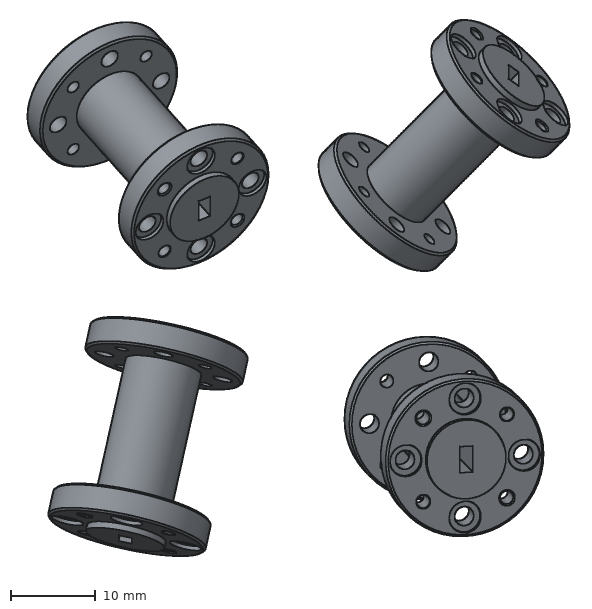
import cadquery as cq
import math

length = 25.4
flange_diameter = 19.05
flange_thickness = 3.33
flange_chamfer = 0.25
boss_diameter = flange_diameter / 2
boss_height = 0.75
tube_diameter = 9.15

channel_width = 1.57
channel_height = 2 * channel_width

bolt_circle_radius = 7.15
screw_diameter = 2.29
recess_diameter = 3.8
recess_depth = 0.5
pin_hole_diameter = 1.57
pin_hole_chamfer = 0.08
clearance_hole_diameter = 1.57
clearance_hole_chamfer = 0.18

screw_angles = (0, 90, 180, 270)
pin_angles = (45, 225)
clearance_angles = (135, 315)

flange_outer = length / 2 - boss_height
flange_inner = flange_outer - flange_thickness


def cylinder(diameter, start, end, y=0, z=0):
    """Solid cylinder along X between two X positions."""
    return cq.Workplane("YZ", origin=(start, y, z)).circle(diameter / 2).extrude(end - start)


def on_bolt_circle(angle):
    """Y and Z of a hole centre, with the angle measured from +Y towards +Z."""
    turn = math.radians(angle)
    return bolt_circle_radius * math.cos(turn), bolt_circle_radius * math.sin(turn)


def screw_hole(angle):
    """Through hole with a shallow round recess in the outer flange face."""
    y, z = on_bolt_circle(angle)
    hole = cylinder(screw_diameter, flange_inner, flange_outer, y, z)
    recess = cylinder(recess_diameter, flange_outer - recess_depth, flange_outer, y, z)
    return hole.union(recess)


def chamfered_hole(angle, diameter, chamfer):
    """Through hole widened by a chamfer at the outer flange face."""
    y, z = on_bolt_circle(angle)
    radius = diameter / 2
    hole = cylinder(diameter, flange_inner, flange_outer, y, z)
    mouth = cq.Solid.makeCone(
        radius, radius + chamfer, chamfer,
        cq.Vector(flange_outer - chamfer, y, z), cq.Vector(1, 0, 0),
    )
    return hole.union(cq.Workplane(mouth))


def make_flange():
    """Flange at the +X end, with its boss and holes."""
    flange = cylinder(flange_diameter, flange_inner, flange_outer).edges().chamfer(flange_chamfer)
    flange = flange.union(cylinder(boss_diameter, flange_outer, length / 2))
    for angle in screw_angles:
        flange = flange.cut(screw_hole(angle))
    for angle in pin_angles:
        flange = flange.cut(chamfered_hole(angle, pin_hole_diameter, pin_hole_chamfer))
    for angle in clearance_angles:
        flange = flange.cut(chamfered_hole(angle, clearance_hole_diameter, clearance_hole_chamfer))
    return flange


flange = make_flange()
tube = cylinder(tube_diameter, -flange_inner, flange_inner)
body = tube.union(flange).union(flange.rotate((0, 0, 0), (0, 0, 1), 180))

channel = cq.Workplane("XY").box(length, channel_width, channel_height)
result = body.cut(channel)